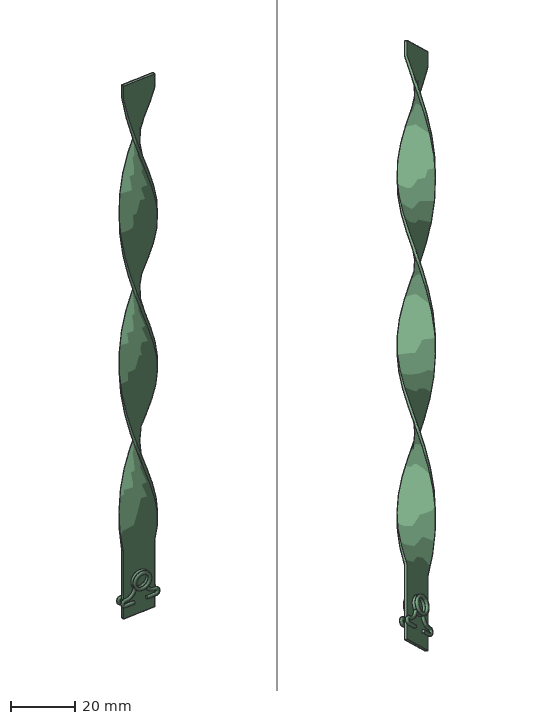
import cadquery as cq
import math

total_length = 200.0
strip_width = 12.0
strip_thickness = 1.0
lower_flat_length = 25.0
upper_flat_length = 5.0
twist_angle = -540.0
twist_length = total_length - lower_flat_length - upper_flat_length

clip_span = 14.8
wire_diameter = 1.2
wire_radius = wire_diameter / 2
coil_pitch = 1.1
coil_radius = 2.9
coil_center_z = 13.0
arm_start_angle = 45.0
leg_height = 5.2
leg_inner_y = 2.5
hook_radius = 1.0

inner_coil_x = strip_thickness / 2 + wire_radius
outer_coil_x = inner_coil_x + coil_pitch
hook_center_y = clip_span / 2 - wire_radius - hook_radius
hook_center_z = leg_height + hook_radius
hook_top_z = hook_center_z + hook_radius


def make_strip():
    """Flat bar with a twisted middle; the flat ends lie in the YZ plane."""
    lower_flat = (
        cq.Workplane("XY")
        .rect(strip_thickness, strip_width)
        .extrude(lower_flat_length)
    )
    twisted_middle = (
        cq.Workplane("XY", origin=(0, 0, lower_flat_length))
        .rect(strip_thickness, strip_width)
        .twistExtrude(twist_length, twist_angle)
    )
    upper_flat = (
        cq.Workplane("XY", origin=(0, 0, total_length - upper_flat_length))
        .rect(strip_thickness, strip_width)
        .extrude(upper_flat_length)
    )
    return lower_flat.union(twisted_middle).union(upper_flat)


def make_coil(x):
    """One closed turn of wire around an axis along X."""
    center = cq.Vector(x, 0, coil_center_z)
    ring = cq.Solid.makeTorus(coil_radius, wire_radius, center, cq.Vector(1, 0, 0))
    return cq.Workplane(ring)


def make_arm():
    """Arm on the +Y side: a curve out of the coil, a hook and a straight inward leg."""
    start_angle = math.radians(arm_start_angle)
    start_y = coil_radius * math.cos(start_angle)
    start_z = coil_center_z - coil_radius * math.sin(start_angle)

    path = (
        cq.Workplane("YZ", origin=(inner_coil_x, 0, 0))
        .moveTo(leg_inner_y, leg_height)
        .lineTo(hook_center_y, leg_height)
        .threePointArc(
            (hook_center_y + hook_radius, hook_center_z),
            (hook_center_y, hook_top_z),
        )
        .tangentArcPoint((start_y, start_z), relative=False)
    )
    return (
        cq.Workplane("XZ", origin=(inner_coil_x, leg_inner_y, leg_height))
        .circle(wire_radius)
        .sweep(path)
    )


def make_clip():
    """Wire clip on the +X face: two joined coils and a pair of mirrored arms."""
    arm = make_arm()
    coils = make_coil(inner_coil_x).union(make_coil(outer_coil_x))
    return coils.union(arm).union(arm.mirror("XZ"))


strip = make_strip()
clip_solids = []
for turn in (0, 180):
    clip = make_clip().rotate((0, 0, 0), (0, 0, 1), turn)
    clip_solids.append(clip.val())

result = cq.Compound.makeCompound([strip.val(), *clip_solids])